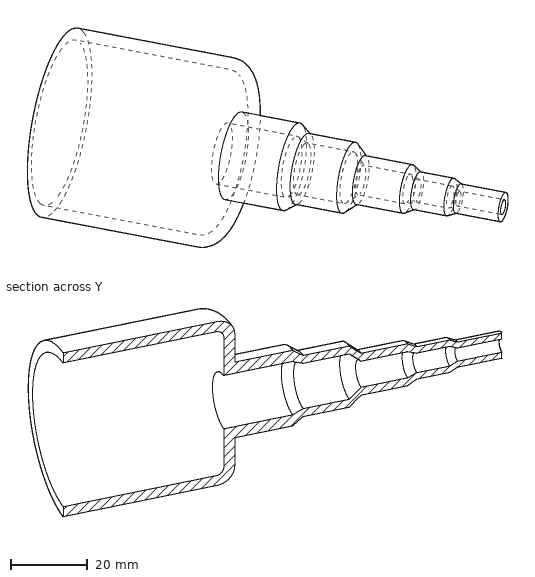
import cadquery as cq

total_length = 122.6

cup_length = 48.1
cup_radius = 25.1
wall = 3.2
outer_round = 5.0
inner_round = 2.1
cup_bore_radius = cup_radius - wall
cup_floor_x = cup_length - wall

nozzle_sections = [
    (cup_length, 64.1, 11.7, 8.1),
    (67.1, 80.0, 9.5, 6.9),
    (83.3, 96.3, 6.5, 3.9),
    (98.9, 108.0, 5.0, 3.0),
    (110.3, total_length, 3.9, 2.0),
]


def revolve_about_x(profile):
    return profile.close().revolve(360, (0, 0, 0), (1, 0, 0))


def rounded_cylinder(length, radius, corner_round):
    """Solid cylinder from x = 0 with its far edge rounded."""
    cylinder = cq.Workplane("YZ").circle(radius).extrude(length)
    return cylinder.faces(">X").edges().fillet(corner_round)


def stepped_shaft(sections):
    """Solid of revolution from (start x, end x, radius) sections joined by cones."""
    profile = cq.Workplane("XY").moveTo(sections[0][0], 0)
    for start, end, radius in sections:
        profile = profile.lineTo(start, radius).lineTo(end, radius)
    return revolve_about_x(profile.lineTo(sections[-1][1], 0))


cup = rounded_cylinder(cup_length, cup_radius, outer_round)
nozzle = stepped_shaft([(start, end, outer) for start, end, outer, _ in nozzle_sections])

cup_bore = rounded_cylinder(cup_floor_x, cup_bore_radius, inner_round)
bore_sections = [(start, end, bore) for start, end, _, bore in nozzle_sections]
bore_sections[0] = (cup_floor_x, *bore_sections[0][1:])
nozzle_bore = stepped_shaft(bore_sections)

result = cup.union(nozzle).cut(cup_bore).cut(nozzle_bore)